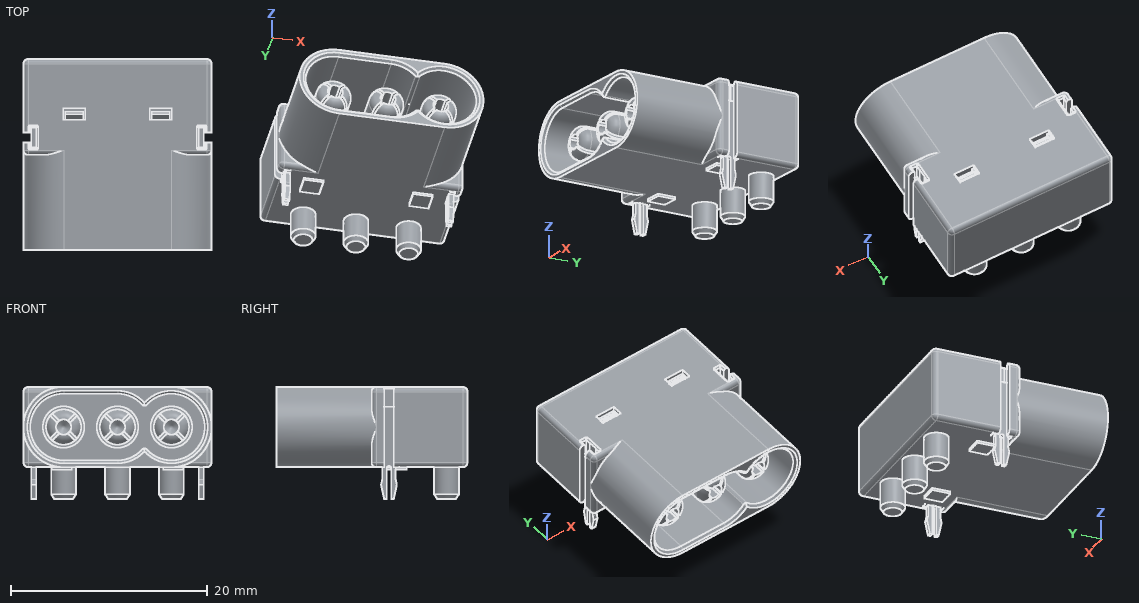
import cadquery as cq
import math


width = 19.2
length = 19.5
height = 8.2
axis_z = height / 2
pitch = 5.5
pole_xs = [-pitch, 0, pitch]
shell_length = 9.7
housing_length = length - shell_length
housing_fillet = 0.5
shell_radius = height / 2

cavity_radius = 3.4
cavity_depth = shell_length
mouth_chamfer = 0.3
chamfer_angle = 45
ridge_radius = 0.3

pin_radius = 1.8
pin_tip_y = 1.7
dome_length = 1.0
tip_face_radius = 0.8
bore_radius = 0.78
bore_depth = 3.2
bore_point_depth = 0.5
pin_slot_width = 0.3
pin_slot_depth = 3.0
pin_slot_angles = [45, 135]
recess_radius = 2.12
recess_depth = 0.5

tail_radius = 1.28
tail_y = 17.35
tail_length = 3.25
tail_chamfer_height = 0.5
tail_chamfer_inset = 0.32

window_x = 4.41
window_width = 2.26
window_front_y = 13.3
window_span = 1.17
window_depth = 0.55
barb_width = 1.8
barb_back_y = 14.12
barb_land = 0.25
barb_rise = 0.12

clip_y = 11.48
clip_inner_x = 8.28
clip_thickness = 0.52
clip_width = 2.06
clip_top_z = height - 2.04
pocket_inner_x = 8.1
pocket_outer_x = 9.1
pocket_width = 2.5
pocket_chamfer = 0.2
side_slot_width = 0.98
leg_width = 1.38
leg_bulge_width = 1.64
leg_tip_width = 1.0
leg_bulge_start_z = -1.22
leg_bulge_z = -1.77
leg_tip_z = -tail_length
leg_gap = 0.42
leg_gap_top_z = 0.13

standoff_x = 5.7
standoff_y = 12.3
standoff_size = 2.04
standoff_height = 0.25


def along_y(y):
    """Workplane at depth y facing the mouth, centred on the middle pole, with its own Y axis along Z."""
    return cq.Workplane(cq.Plane(origin=(0, y, axis_z), xDir=(1, 0, 0), normal=(0, -1, 0)))


def block(x_range, y_range, z_range):
    """Box between the given limits."""
    (x0, x1), (y0, y1), (z0, z1) = x_range, y_range, z_range
    return cq.Workplane("XY").box(x1 - x0, y1 - y0, z1 - z0, centered=False).translate((x0, y0, z0))


def make_housing():
    """Rounded housing block with the slot-shaped shell running out of its front."""
    housing = block((-width / 2, width / 2), (shell_length, length), (0, height))
    housing = housing.edges().fillet(housing_fillet)
    shell_end = shell_length + housing_length / 2
    shell = along_y(shell_end).slot2D(2 * (pitch + shell_radius), 2 * shell_radius).extrude(shell_end)
    return housing.union(shell)


def cavity_part(start_y, depth, radius, taper=0):
    """Slot around the first two poles joined to the bore of the last pole, reaching back to start_y."""
    slot = along_y(start_y).center(-pitch / 2, 0).slot2D(pitch + 2 * radius, 2 * radius)
    bore = along_y(start_y).center(pitch, 0).circle(radius)
    return slot.extrude(depth, taper=taper).union(bore.extrude(depth, taper=taper))


def make_cavity():
    """Cavity with rounded ridges where slot and bore meet, and a chamfered mouth."""
    straight = cavity_part(cavity_depth, cavity_depth, cavity_radius)
    ridge_x = pitch / 2
    ridge_z = axis_z + math.sqrt(cavity_radius ** 2 - ridge_x ** 2)
    for z in (ridge_z, height - ridge_z):
        ridge = cq.selectors.NearestToPointSelector((ridge_x, cavity_depth / 2, z))
        straight = straight.edges("|Y").edges(ridge).fillet(ridge_radius)
    mouth = cavity_part(mouth_chamfer, mouth_chamfer, cavity_radius, taper=-chamfer_angle)
    return straight.union(mouth)


def make_pin(x):
    """Domed contact pin, bored and cross-slotted at its tip."""
    root_y = cavity_depth + recess_depth
    dome_y = pin_tip_y + dome_length
    diagonal = math.sqrt(0.5)
    dome_mid = (
        tip_face_radius + (pin_radius - tip_face_radius) * diagonal,
        dome_y - dome_length * diagonal,
    )
    bore_end_y = pin_tip_y + bore_depth
    pin = (
        cq.Workplane("XY")
        .moveTo(bore_radius, pin_tip_y)
        .lineTo(tip_face_radius, pin_tip_y)
        .threePointArc(dome_mid, (pin_radius, dome_y))
        .lineTo(pin_radius, root_y)
        .lineTo(0, root_y)
        .lineTo(0, bore_end_y + bore_point_depth)
        .lineTo(bore_radius, bore_end_y)
        .close()
        .revolve(360, (0, 0, 0), (0, 1, 0))
        .translate((0, 0, axis_z))
    )
    for angle in pin_slot_angles:
        slot = along_y(pin_tip_y + pin_slot_depth).transformed(rotate=(0, 0, angle))
        pin = pin.cut(slot.rect(2 * recess_radius, pin_slot_width).extrude(pin_slot_depth))
    return pin.translate((x, 0, 0))


def make_pin_recess(x):
    """Shallow round recess in the cavity floor around a pin."""
    return along_y(cavity_depth + recess_depth).center(x, 0).circle(recess_radius).extrude(recess_depth)


def make_tail(x):
    """Round solder tail with a conical end."""
    tip_radius = tail_radius - tail_chamfer_inset
    return (
        cq.Workplane("XZ")
        .lineTo(tail_radius, 0)
        .lineTo(tail_radius, tail_chamfer_height - tail_length)
        .lineTo(tip_radius, -tail_length)
        .lineTo(0, -tail_length)
        .close()
        .revolve(360, (0, 0, 0), (0, 1, 0))
        .translate((x, tail_y, 0))
    )


def make_window(x):
    """Roof window with a latch barb in its floor that slopes down at 45 degrees to the front."""
    floor_z = height - window_depth
    window_back_y = window_front_y + window_span
    window_xs = (x - window_width / 2, x + window_width / 2)
    window = block(window_xs, (window_front_y, window_back_y), (floor_z, height))
    barb_top_z = floor_z + barb_rise
    ramp_top_y = barb_back_y - barb_land
    ramp_foot_z = barb_top_z - (ramp_top_y - window_front_y)
    barb_xs = (x - barb_width / 2, x + barb_width / 2)
    window = window.cut(block(barb_xs, (window_front_y, barb_back_y), (floor_z, barb_top_z)))
    over_ramp = (
        cq.Workplane("YZ", origin=(barb_xs[0], 0, 0))
        .polyline([(window_front_y, ramp_foot_z), (ramp_top_y, barb_top_z), (window_front_y, barb_top_z)])
        .close()
        .extrude(barb_width)
    )
    return window.union(over_ramp)


def make_clip_pocket():
    """Pocket through the -X side for a clip, with a chamfered entry and a slot to the outside."""
    center_x = -(pocket_outer_x + pocket_inner_x) / 2
    well_size_x = pocket_outer_x - pocket_inner_x - 2 * pocket_chamfer
    well_size_y = pocket_width - 2 * pocket_chamfer
    well = cq.Workplane("XY").center(center_x, clip_y).rect(well_size_x, well_size_y).extrude(height)
    entry = (
        cq.Workplane("XY", origin=(center_x, clip_y, height - pocket_chamfer))
        .rect(well_size_x, well_size_y)
        .extrude(pocket_chamfer, taper=-chamfer_angle)
    )
    slot_ys = (clip_y - side_slot_width / 2, clip_y + side_slot_width / 2)
    slot = block((-width / 2, -clip_inner_x), slot_ys, (0, height))
    return well.union(entry).union(slot)


def make_clip():
    """Board clip on the -X side with two sprung legs."""
    half_outline = [
        (clip_width / 2, clip_top_z),
        (clip_width / 2, 0),
        (leg_width / 2, 0),
        (leg_width / 2, leg_bulge_start_z),
        (leg_bulge_width / 2, leg_bulge_z),
        (leg_tip_width / 2, leg_tip_z),
    ]
    outline = half_outline + [(-y, z) for y, z in reversed(half_outline)]
    face = cq.Workplane("YZ", origin=(-clip_inner_x - clip_thickness, clip_y, 0))
    clip = face.polyline(outline).close().extrude(clip_thickness)
    gap_end_z = leg_gap_top_z - leg_gap / 2
    gap = (
        face.moveTo(-leg_gap / 2, leg_tip_z)
        .lineTo(-leg_gap / 2, gap_end_z)
        .threePointArc((0, leg_gap_top_z), (leg_gap / 2, gap_end_z))
        .lineTo(leg_gap / 2, leg_tip_z)
        .close()
        .extrude(clip_thickness)
    )
    return clip.cut(gap)


def make_standoff(x):
    """Square pad that lifts the housing off the board."""
    pad = cq.Workplane("XY").center(x, standoff_y).rect(standoff_size, standoff_size)
    return pad.extrude(-standoff_height)


result = make_housing().cut(make_cavity())

for pole_x in pole_xs:
    result = result.cut(make_pin_recess(pole_x))
    result = result.union(make_pin(pole_x))
    result = result.union(make_tail(pole_x))

for side in (-1, 1):
    result = result.cut(make_window(side * window_x))
    result = result.union(make_standoff(side * standoff_x))

left_pocket = make_clip_pocket()
left_clip = make_clip()
result = result.cut(left_pocket).cut(left_pocket.mirror("YZ"))
result = result.union(left_clip).union(left_clip.mirror("YZ"))